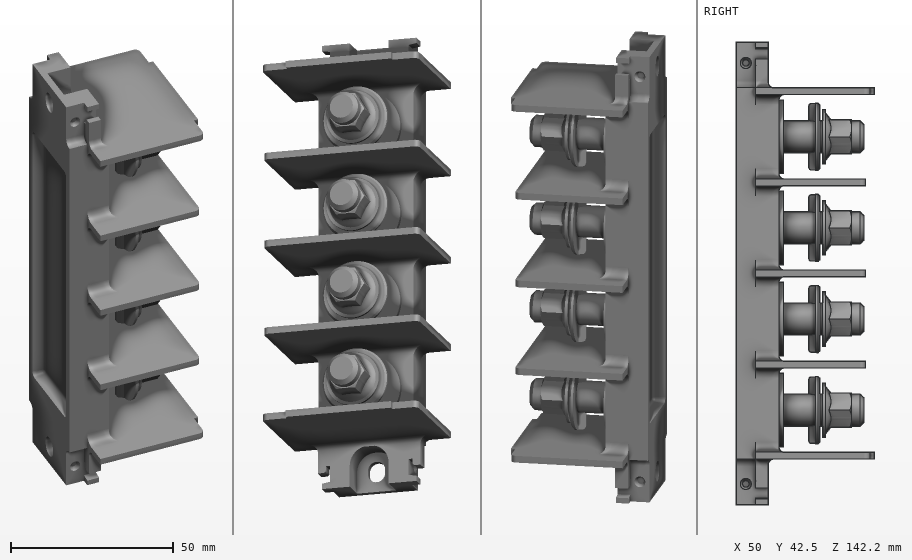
import cadquery as cq
import math


strip_length = 142.2
barrier_count = 5
pitch = 28.0
barrier_thickness = 2.1
barrier_width = 50.0
total_depth = 42.5

core_half_width = 15.2
core_depth = 13.2
recess_half_width = 12.7
recess_half_length = 46.1
recess_depth = 4.0
recess_corner = 1.5
recess_draft_angle = 8.0
recess_floor_fillet = 1.0

barrier_front = 6.0
middle_barrier_back = 39.8
end_barrier_shoulder = 41.1
end_lip_half_width = 16.9
barrier_corner = 1.7
foot_side_fillet = 3.0
foot_back_fillet = 1.5

end_block_half_width = 12.7
end_block_depth = 10.0
neck_fillet = 2.1
pocket_half_width = 6.3
pocket_corner = 6.0
mount_wall = 2.1
mount_hole_width = 5.5
mount_hole_height = 6.5
mount_hole_z = 64.7
dimple_radius = 1.7
dimple_floor_radius = 1.0
dimple_depth = 1.4
dimple_y = 3.0
tab_tip_height = 1.7
tab_root_height = 2.1

ear_half_width = 16.5
ear_inner_x = 14.0
ear_top_z = 66.0
ear_gap_floor_z = 63.8
ear_fillet = 0.9

flange_radius = 11.4
flange_thickness = 1.4
stud_radius = 5.0
stud_tip_radius = 3.7
stud_tip_length = 1.3
stud_end_y = 39.4
washer_radius = 10.4
washer_back_y = 25.7
washer_front_y = 24.5
washer_chamfer = 0.5
clamp_half_width = 1.7
clamp_knee_half_width = 1.3
clamp_knee_y = 23.6
clamp_front_half_width = 0.5
clamp_front_y = 22.3
clamp_end_fillet = 0.9
nut_front_y = 26.6
nut_flange_radius = 8.4
nut_flange_thickness = 0.9
nut_cone_base_radius = 7.4
nut_cone_end_y = 29.2
nut_end_y = 35.5
nut_apothem = 5.3
nut_band_half_width = 0.5
nut_end_chamfer = 0.5

half_length = strip_length / 2
last_barrier_z = pitch * (barrier_count - 1) / 2
barrier_zs = [i * pitch - last_barrier_z for i in range(barrier_count)]
terminal_zs = [z + pitch / 2 for z in barrier_zs[:-1]]
core_half_length = last_barrier_z + barrier_thickness / 2

arc_share = 1 - math.sqrt(0.5)


def block(x0, x1, y0, y1, z0, z1):
    """Box between two opposite corners."""
    return cq.Workplane("XY").box(x1 - x0, y1 - y0, z1 - z0, centered=False).translate((x0, y0, z0))


def on_both_ends(feature):
    """The feature at the +Z end together with its mirror image at the -Z end."""
    return feature.union(feature.mirror("XY"))


def barrier(z, is_end):
    """Plate standing across the strip; an end barrier is deeper and has a lip on its back edge."""
    half_width = barrier_width / 2
    back = end_barrier_shoulder if is_end else middle_barrier_back
    z0 = z - barrier_thickness / 2
    z1 = z + barrier_thickness / 2
    plate = block(-half_width, half_width, barrier_front, back, z0, z1)
    plate = plate.edges("|Z and >Y").fillet(barrier_corner)
    if is_end:
        plate = plate.union(block(-end_lip_half_width, end_lip_half_width, barrier_front, total_depth, z0, z1))
    return plate


def foot(z, side, half_width, depth, side_fillet):
    """Flared foot on one side of a barrier (side = +1 or -1 along Z), with mitred corners.

    The side flare and the back flare are two straight extrusions; their overlap is the foot.
    """
    face_z = z + side * barrier_thickness / 2
    side_z = face_z + side * side_fillet
    back_z = face_z + side * foot_back_fillet
    side_mid = side_fillet * arc_share
    back_mid = foot_back_fillet * arc_share
    reach = half_width + side_fillet
    back_reach = depth + foot_back_fillet

    side_flare = (
        cq.Workplane("XZ", origin=(0, barrier_front, 0))
        .moveTo(-reach, z)
        .lineTo(reach, z)
        .lineTo(reach, face_z)
        .threePointArc((half_width + side_mid, face_z + side * side_mid), (half_width, side_z))
        .lineTo(-half_width, side_z)
        .threePointArc((-half_width - side_mid, face_z + side * side_mid), (-reach, face_z))
        .close()
        .extrude(barrier_front - back_reach)
    )
    back_flare = (
        cq.Workplane("YZ")
        .moveTo(barrier_front, z)
        .lineTo(back_reach, z)
        .lineTo(back_reach, face_z)
        .threePointArc((depth + back_mid, face_z + side * back_mid), (depth, back_z))
        .lineTo(depth, side_z)
        .lineTo(barrier_front, side_z)
        .close()
        .extrude(reach, both=True)
    )
    return side_flare.intersect(back_flare)


def end_block():
    """Mounting block at the +Z end, with coved shoulders down to the core and two tabs thinning outward."""
    arc_mid = neck_fillet * arc_share
    cove_x = end_block_half_width + neck_fillet
    cove_z = core_half_length + neck_fillet
    mid_x = end_block_half_width + arc_mid
    mid_z = core_half_length + arc_mid
    body = (
        cq.Workplane("XZ")
        .moveTo(-cove_x, core_half_length)
        .lineTo(cove_x, core_half_length)
        .threePointArc((mid_x, mid_z), (end_block_half_width, cove_z))
        .lineTo(end_block_half_width, half_length)
        .lineTo(-end_block_half_width, half_length)
        .lineTo(-end_block_half_width, cove_z)
        .threePointArc((-mid_x, mid_z), (-cove_x, core_half_length))
        .close()
        .extrude(-end_block_depth)
    )
    tabs = (
        cq.Workplane("XZ", origin=(0, barrier_front, 0))
        .moveTo(-core_half_width, half_length)
        .lineTo(core_half_width, half_length)
        .lineTo(core_half_width, half_length - tab_tip_height)
        .lineTo(end_block_half_width, half_length - tab_root_height)
        .lineTo(-end_block_half_width, half_length - tab_root_height)
        .lineTo(-core_half_width, half_length - tab_tip_height)
        .close()
        .extrude(barrier_front - end_block_depth)
    )
    return body.union(tabs)


def ears():
    """Pair of ears beside the +Z end block, each joined to it by a low web."""
    web = block(
        -ear_inner_x, ear_inner_x, barrier_front, end_block_depth, core_half_length, ear_gap_floor_z
    )
    ear = block(ear_inner_x, ear_half_width, barrier_front, end_block_depth, core_half_length, ear_top_z)
    ear = ear.edges("|Y and >Z and <X").fillet(ear_fillet)
    return web.union(ear).union(ear.mirror("YZ"))


def mount_cut():
    """Open pocket, mounting slot and two side dimples of the +Z end block."""
    pocket_floor_z = mount_hole_z - pocket_half_width
    pocket = block(
        -pocket_half_width, pocket_half_width, mount_wall, end_block_depth, pocket_floor_z, half_length
    )
    pocket = pocket.edges("|Y and <Z").fillet(pocket_corner)
    slot = (
        cq.Workplane("XZ")
        .center(0, mount_hole_z)
        .slot2D(mount_hole_height, mount_hole_width, 90)
        .extrude(-mount_wall)
    )
    dimple = cq.Workplane(
        cq.Solid.makeCone(
            dimple_radius,
            dimple_floor_radius,
            dimple_depth,
            pnt=cq.Vector(-end_block_half_width, dimple_y, mount_hole_z),
            dir=cq.Vector(1, 0, 0),
        )
    )
    return pocket.union(slot).union(dimple).union(dimple.mirror("YZ"))


def front_recess():
    """Shallow recess in the front face, with drafted walls and a rounded floor edge."""
    outline = cq.Sketch().rect(2 * recess_half_width, 2 * recess_half_length).vertices().fillet(recess_corner)
    recess = cq.Workplane("XZ").placeSketch(outline).extrude(-recess_depth, taper=recess_draft_angle)
    return recess.faces(">Y").edges().fillet(recess_floor_fillet)


def make_housing():
    """Core, barriers with their feet, and both mounting ends as one solid."""
    body = block(-core_half_width, core_half_width, 0, core_depth, -core_half_length, core_half_length)
    for z in barrier_zs:
        is_end = abs(z) == last_barrier_z
        body = body.union(barrier(z, is_end))
        for side in (-1, 1):
            faces_outward = is_end and z * side > 0
            if faces_outward:
                body = body.union(foot(z, side, ear_half_width, end_block_depth, neck_fillet))
            else:
                body = body.union(foot(z, side, core_half_width, core_depth, foot_side_fillet))
    body = body.union(on_both_ends(end_block())).union(on_both_ends(ears()))
    return body.cut(on_both_ends(mount_cut())).cut(front_recess())


def turned_parts():
    """Everything round about the stud axis: base flange, stud, washer and nut collar."""
    flange_y = core_depth + flange_thickness
    band_radius = math.hypot(nut_apothem, nut_band_half_width)
    profile = [
        (0, core_depth),
        (flange_radius, core_depth),
        (flange_radius, flange_y),
        (stud_radius, flange_y),
        (stud_radius, washer_front_y),
        (washer_radius, washer_front_y),
        (washer_radius, washer_back_y - washer_chamfer),
        (washer_radius - washer_chamfer, washer_back_y),
        (stud_radius, washer_back_y),
        (stud_radius, nut_front_y),
        (nut_flange_radius, nut_front_y),
        (nut_flange_radius, nut_front_y + nut_flange_thickness),
        (nut_cone_base_radius, nut_front_y + nut_flange_thickness),
        (band_radius, nut_cone_end_y),
        (band_radius, nut_end_y),
        (stud_radius, nut_end_y),
        (stud_radius, stud_end_y - stud_tip_length),
        (stud_tip_radius, stud_end_y),
        (0, stud_end_y),
    ]
    return cq.Workplane("XY").polyline(profile).close().revolve(360, (0, 0), (0, 1))


def nut_hexagon():
    """Hexagonal grip of the nut, corners toward +X and -X, its outer end chamfered."""
    corner_radius = nut_apothem / math.cos(math.pi / 6)
    grip_start_y = nut_front_y + nut_flange_thickness
    hexagon = (
        cq.Workplane("XZ", origin=(0, grip_start_y, 0))
        .polygon(6, 2 * corner_radius)
        .extrude(grip_start_y - nut_end_y)
    )
    envelope = (
        cq.Workplane("XZ", origin=(0, grip_start_y, 0))
        .circle(corner_radius)
        .extrude(grip_start_y - nut_end_y)
        .faces(">Y")
        .chamfer(nut_end_chamfer, corner_radius - nut_apothem)
    )
    return hexagon.intersect(envelope)


def clamp_bar():
    """Keel along Z across the front of the washer, narrowing in two slopes, with rounded ends."""
    half_profile = [
        (clamp_half_width, washer_front_y),
        (clamp_knee_half_width, clamp_knee_y),
        (clamp_front_half_width, clamp_front_y),
    ]
    mirrored = [(-x, y) for x, y in reversed(half_profile)]
    keel_half_length = math.sqrt(washer_radius**2 - clamp_half_width**2)
    return (
        cq.Workplane("XY")
        .polyline(half_profile + mirrored)
        .close()
        .extrude(keel_half_length, both=True)
        .edges("|X and <Y")
        .fillet(clamp_end_fillet)
    )


def make_terminal(z):
    """Stud with base flange, clamp washer and nut, standing on the housing at height z."""
    terminal = turned_parts().union(nut_hexagon()).union(clamp_bar())
    return terminal.translate((0, 0, z))


housing = make_housing()
terminals = [make_terminal(z) for z in terminal_zs]

result = cq.Compound.makeCompound([housing.val(), *[terminal.val() for terminal in terminals]])